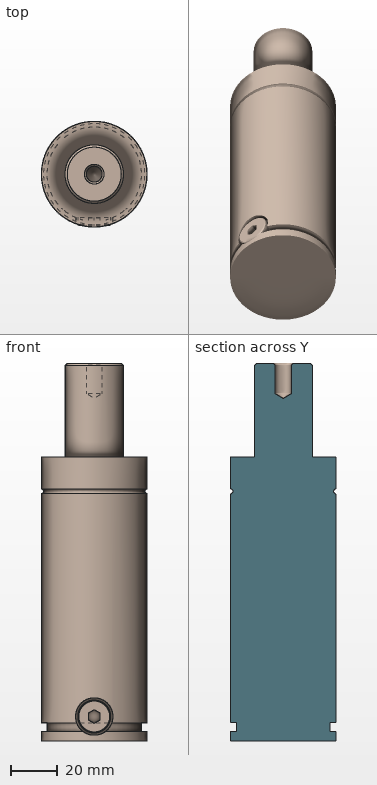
import cadquery as cq
import math

body_diameter = 45.0
body_radius = body_diameter / 2
body_top = 121.0
total_height = 161.0

flange_height = 4.2
base_groove_top = 7.7
base_groove_diameter = 40.2

cap_height = 13.7
cap_groove_radius = 1.0

rod_diameter = 25.0
rod_chamfer = 1.0
hole_diameter = 6.8
hole_depth = 12.9
hole_mouth_diameter = 8.4
drill_point_angle = 118.0

port_height = 10.5
pocket_diameter = 16.0
pocket_floor_distance = 18.5
plug_diameter = 14.0
plug_distance = 21.9
plug_chamfer = 0.4
socket_across_flats = 5.0
socket_depth = 3.2


def make_body():
    """Revolve the cylinder with both of its grooves."""
    groove_radius = base_groove_diameter / 2
    cap_bottom = body_top - cap_height
    groove_middle = cap_bottom - cap_groove_radius
    groove_bottom = groove_middle - cap_groove_radius
    return (
        cq.Workplane("XZ")
        .lineTo(body_radius, 0)
        .lineTo(body_radius, flange_height)
        .lineTo(groove_radius, flange_height)
        .lineTo(groove_radius, base_groove_top)
        .lineTo(body_radius, base_groove_top)
        .lineTo(body_radius, groove_bottom)
        .threePointArc((body_radius - cap_groove_radius, groove_middle), (body_radius, cap_bottom))
        .lineTo(body_radius, body_top)
        .lineTo(0, body_top)
        .close()
        .revolve(360, (0, 0), (0, 1))
    )


def make_rod():
    """Piston rod with a chamfered end."""
    return (
        cq.Workplane("XY", origin=(0, 0, body_top))
        .circle(rod_diameter / 2)
        .extrude(total_height - body_top)
        .faces(">Z")
        .chamfer(rod_chamfer)
    )


def make_rod_hole():
    """Revolved cutter: countersunk mouth, straight bore and conical drill point."""
    hole_radius = hole_diameter / 2
    mouth_radius = hole_mouth_diameter / 2
    mouth_depth = mouth_radius - hole_radius
    point_depth = hole_radius / math.tan(math.radians(drill_point_angle / 2))
    return (
        cq.Workplane("XZ", origin=(0, 0, total_height))
        .lineTo(mouth_radius, 0)
        .lineTo(hole_radius, -mouth_depth)
        .lineTo(hole_radius, -hole_depth)
        .lineTo(0, -hole_depth - point_depth)
        .close()
        .revolve(360, (0, 0), (0, 1))
    )


def port_plane(distance):
    """Plane facing -Y, centred on the port at a distance from the body axis."""
    return cq.Workplane("XZ", origin=(0, -distance, port_height))


def add_port(part):
    """Cut the pocket, stand the plug in it and sink the hexagon socket."""
    pocket = (
        port_plane(pocket_floor_distance)
        .circle(pocket_diameter / 2)
        .extrude(body_radius - pocket_floor_distance)
    )
    plug = (
        port_plane(pocket_floor_distance)
        .circle(plug_diameter / 2)
        .extrude(plug_distance - pocket_floor_distance)
        .faces("<Y")
        .chamfer(plug_chamfer)
    )
    socket_across_corners = socket_across_flats / math.cos(math.radians(30))
    socket = (
        port_plane(plug_distance)
        .transformed(rotate=(0, 0, 90))
        .polygon(6, socket_across_corners)
        .extrude(-socket_depth)
    )
    return part.cut(pocket).union(plug).cut(socket)


cylinder = make_body().union(make_rod()).cut(make_rod_hole())
result = add_port(cylinder)